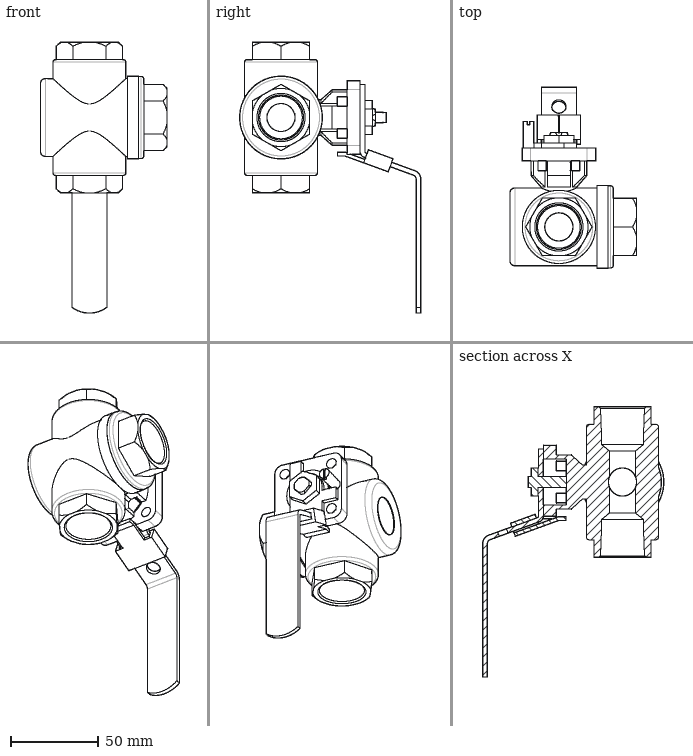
import cadquery as cq
import math


body_dia = 44.7
body_left = -28.1
body_end_fillet = 3.0
label_recess_dia = 22.0
label_recess_depth = 0.5
flange_dia = 47.5
flange_start = 21.7
flange_end = 28.1
cap_dia = 47.2
cap_end = 31.2
rim_fillet = 1.5
port_dia = 42.0
port_shoulder = 33.2
port_reach = 43.2
cap_port_reach = 44.5
hex_flats = 33.0
hex_corners = hex_flats / math.cos(math.pi / 6)
hex_chamfer = 2.3

thread_dia = 25.8
thread_taper = 1 / 16
thread_depth = 21.7
mouth_chamfer = 1.0
passage_dia = 16.0
bore_cone_depth = 3.5

neck_dia = 20.5
neck_top = 22.8
yoke_dia = 32.0
yoke_cone_top = 29.4
yoke_bore_dia = 27.0
yoke_floor = 32.3
leg_width = 13.0
plate_side = 42.2
plate_corner_radius = 5.0
plate_bottom = 37.9
plate_top = 45.3
plate_thickness = plate_top - plate_bottom
bolt_hole_dia = 6.0
bolt_offset = 14.8
stop_hole_dia = 4.2
stop_pin_dia = 6.0
stop_pin_offset = 17.4
stop_pin_end = 60.4
driver_slot_width = 1.2
driver_slot_depth = 1.9

sheet = 2.8
lever_width = 20.2
lever_slope = math.radians(20)
lever_bottom = port_reach - 155.3
lever_outer_face = 80.1
tip_rise = 3.4
upper_bend_z = -20.0
upper_bend_inner_radius = 0.3
lower_bend_inner_radius = 2.3
stop_arm_reach = 19.0
lock_hole_dia = 8.0
lock_hole_along = 22.2

slide_sheet = 2.2
slide_start = 1.2
slide_end = 16.3
slide_cavity_height = 3.7
slide_cavity_width = lever_width + 0.3
slide_width = slide_cavity_width + 2 * slide_sheet
seam_gap = 0.5
tongue_width = 14.6
tongue_tip_y = yoke_floor
tongue_tip_top = -19.9
notch_clearance = 0.2

stem_flats = 9.0
stem_dia = 12.0
stem_end = 54.0
stem_tip_base_radius = 5.5
stem_tip_end_radius = 4.8
nut_flats = 17.1
nut_height = 4.2

handle_outer_y = plate_top + sheet
nut_top = handle_outer_y + nut_height


def cylinder_y(diameter, start, end, x=0, z=0):
    """Cylinder along Y between two Y positions."""
    disc = cq.Workplane("XZ", origin=(x, start, z)).circle(diameter / 2)
    return disc.extrude(start - end)


def block(x_range, y_range, z_range):
    """Box between pairs of coordinates."""
    corners = (x_range, y_range, z_range)
    size = [high - low for low, high in corners]
    return cq.Workplane("XY").box(*size, centered=False).translate([low for low, high in corners])


def upper_port(reach):
    """Hexagonal wrench end along +Z, with its outer corners turned off."""
    prism = cq.Workplane("XY").polygon(6, hex_corners).extrude(reach)
    envelope = cq.Workplane("XY").circle(hex_corners / 2).extrude(reach).faces(">Z").chamfer(hex_chamfer)
    return prism.intersect(envelope)


def upper_bore(reach):
    """Tapered thread bore narrowing to the flow passage, along +Z from the valve centre."""
    thread_radius = thread_dia / 2
    passage_radius = passage_dia / 2
    thread_bottom = reach - thread_depth
    bottom_radius = thread_radius - thread_depth * thread_taper / 2
    profile = [
        (0, 0),
        (passage_radius, 0),
        (passage_radius, thread_bottom - bore_cone_depth),
        (bottom_radius, thread_bottom),
        (thread_radius, reach - mouth_chamfer),
        (thread_radius + mouth_chamfer, reach),
        (0, reach),
    ]
    return cq.Workplane("XZ").polyline(profile).close().revolve(360, (0, 0, 0), (0, 1, 0))


def at_three_ports(shape_for_reach):
    """Copies of a +Z shape placed on the upper, lower and side ports."""
    upper = shape_for_reach(port_reach)
    lower = upper.mirror("XY")
    side = shape_for_reach(cap_port_reach).rotate((0, 0, 0), (0, 1, 0), 90)
    return upper.union(lower).union(side)


def valve_shell():
    """Round body, end flange, cap and ports."""
    body = cq.Workplane("YZ", origin=(body_left, 0, 0)).circle(body_dia / 2)
    body = body.extrude(flange_end - body_left)
    body = body.faces("<X").edges().fillet(body_end_fillet)
    flange = cq.Workplane("YZ", origin=(flange_start, 0, 0)).circle(flange_dia / 2)
    flange = flange.extrude(flange_end - flange_start)
    cap = cq.Workplane("YZ", origin=(flange_end, 0, 0)).circle(cap_dia / 2).extrude(cap_end - flange_end)
    cap = cap.faces(">X").edges().fillet(rim_fillet)
    barrel = cq.Workplane("XY").circle(port_dia / 2).extrude(port_shoulder, both=True)
    barrel = barrel.faces("|Z").edges().fillet(rim_fillet)
    label_recess = cq.Workplane("YZ", origin=(body_left, 0, 0)).circle(label_recess_dia / 2)
    label_recess = label_recess.extrude(label_recess_depth)
    shell = body.union(flange).union(cap).union(barrel)
    return shell.union(at_three_ports(upper_port)).cut(label_recess)


def stem_yoke():
    """Flared cup cut into four legs, standing on a round neck."""
    profile = [
        (0, 0),
        (neck_dia / 2, 0),
        (neck_dia / 2, neck_top),
        (yoke_dia / 2, yoke_cone_top),
        (yoke_dia / 2, plate_bottom),
        (0, plate_bottom),
    ]
    flare = cq.Workplane("XY").polyline(profile).close().revolve(360, (0, 0, 0), (0, 1, 0))
    half = leg_width / 2
    reach = yoke_dia / 2
    height = (0, plate_bottom)
    legs = block((-reach, reach), height, (-half, half)).union(block((-half, half), height, (-reach, reach)))
    core = cylinder_y(neck_dia, 0, yoke_floor)
    return flare.intersect(legs.union(core))


def mounting_plate():
    """Square plate with bolt holes and a notch for the locking tongue."""
    plate = cq.Workplane("XZ", origin=(0, plate_bottom, 0)).rect(plate_side, plate_side)
    plate = plate.extrude(-plate_thickness).edges("|Y").fillet(plate_corner_radius)
    for x in (-bolt_offset, bolt_offset):
        for z in (-bolt_offset, bolt_offset):
            plate = plate.cut(cylinder_y(bolt_hole_dia, plate_bottom, plate_top, x, z))
    plate = plate.cut(cylinder_y(stop_hole_dia, plate_bottom, plate_top, -stop_pin_offset))
    half_notch = tongue_width / 2 + notch_clearance
    notch_top = tongue_tip_top + notch_clearance
    notch = block((-half_notch, half_notch), (plate_bottom, plate_top), (-plate_side / 2, notch_top))
    return plate.cut(notch)


def stop_pin():
    """Slotted pin that limits the handle's swing."""
    pin = cylinder_y(stop_pin_dia, plate_top, stop_pin_end, -stop_pin_offset)
    half_slot = driver_slot_width / 2
    slot = block(
        (-stop_pin_offset - half_slot, -stop_pin_offset + half_slot),
        (stop_pin_end - driver_slot_depth, stop_pin_end),
        (-stop_pin_dia, stop_pin_dia),
    )
    return pin.cut(slot)


def make_housing():
    """Valve body with its yoke, mounting plate and stop pin."""
    housing = valve_shell().union(stem_yoke()).union(mounting_plate())
    housing = housing.cut(cylinder_y(yoke_bore_dia, yoke_floor, plate_top))
    return housing.union(stop_pin()).cut(at_three_ports(upper_bore))


def stem_bar(start, end):
    """Square bar set corner-up, with its corners turned round."""
    bar = cq.Workplane("XZ", origin=(0, start, 0)).rect(stem_flats, stem_flats).extrude(start - end)
    bar = bar.rotate((0, 0, 0), (0, 1, 0), 45)
    return bar.intersect(cylinder_y(stem_dia, start, end))


def make_stem():
    """Square stem with a tapered tip, carrying the nut that holds the handle."""
    taper = [
        (0, nut_top),
        (stem_tip_base_radius, nut_top),
        (stem_tip_end_radius, stem_end),
        (0, stem_end),
    ]
    tip = cq.Workplane("XY").polyline(taper).close().revolve(360, (0, 0, 0), (0, 1, 0))
    tip = tip.intersect(stem_bar(nut_top, stem_end))
    nut = cq.Workplane("XZ", origin=(0, handle_outer_y, 0)).polygon(6, nut_flats / math.cos(math.pi / 6))
    nut = nut.extrude(-nut_height).rotate((0, 0, 0), (0, 1, 0), 90)
    return stem_bar(yoke_floor, nut_top).union(nut).union(tip)


def on_slope(along, above):
    """(Y, Z) of a point on the sloping lever, measured along and above its upper face."""
    y = handle_outer_y + along * math.cos(lever_slope) + above * math.sin(lever_slope)
    z = upper_bend_z - along * math.sin(lever_slope) + above * math.cos(lever_slope)
    return y, z


def slope_z(y, above):
    """Z of the line parallel to the lever's slope at a given Y."""
    drop = (y - handle_outer_y) * math.tan(lever_slope)
    return upper_bend_z - drop + above / math.cos(lever_slope)


def bent_lever():
    """Sheet strip bent twice, from the hub down to the rounded grip end."""
    lever_inner_face = lever_outer_face - sheet
    outline = [
        (plate_top, 0),
        (handle_outer_y, 0),
        (handle_outer_y, slope_z(handle_outer_y, 0)),
        (lever_outer_face, slope_z(lever_outer_face, 0)),
        (lever_outer_face, lever_bottom),
        (lever_inner_face, lever_bottom),
        (lever_inner_face, slope_z(lever_inner_face, -sheet)),
        (plate_top, slope_z(plate_top, -sheet)),
    ]
    strip = cq.Workplane("YZ").polyline(outline).close().extrude(lever_width / 2, both=True)
    bends = [
        (outline[2], upper_bend_inner_radius),
        (outline[7], upper_bend_inner_radius + sheet),
        (outline[3], lower_bend_inner_radius + sheet),
        (outline[6], lower_bend_inner_radius),
    ]
    for (y, z), radius in bends:
        strip = strip.edges(cq.selectors.NearestToPointSelector((0, y, z))).fillet(radius)
    half = lever_width / 2
    tip_corner = lever_bottom + tip_rise
    plan = cq.Workplane("XZ").moveTo(-half, 0).lineTo(-half, tip_corner)
    plan = plan.threePointArc((0, lever_bottom), (half, tip_corner)).lineTo(half, 0).close()
    return strip.intersect(plan.extrude(-lever_outer_face))


def make_handle():
    """Lever with its hub, two stop arms, square stem hole and padlock hole."""
    half = lever_width / 2
    depth = (plate_top, handle_outer_y)
    stop_face = stop_pin_dia / 2
    handle = bent_lever().union(cylinder_y(lever_width, plate_top, handle_outer_y))
    handle = handle.union(block((stop_face, half), depth, (0, stop_arm_reach)))
    handle = handle.union(block((-stop_arm_reach, 0), depth, (-half, -stop_face)))
    hole_y, hole_z = on_slope(lock_hole_along, 0)
    slope_normal = (0, math.sin(lever_slope), math.cos(lever_slope))
    hole_plane = cq.Plane((0, hole_y, hole_z), (1, 0, 0), slope_normal)
    lock_hole = cq.Workplane(hole_plane).circle(lock_hole_dia / 2).extrude(-2 * sheet)
    return handle.cut(stem_bar(plate_top, handle_outer_y)).cut(lock_hole)


def slope_bar(along_range, above_range, width):
    """Bar aligned with the lever's slope, centred on X = 0."""
    low, high = above_range
    start, end = along_range
    outline = [on_slope(start, low), on_slope(end, low), on_slope(end, high), on_slope(start, high)]
    return cq.Workplane("YZ").polyline(outline).close().extrude(width / 2, both=True)


def make_slide():
    """Folded sheet sleeve around the lever, with a tongue that hooks the plate."""
    along = (slide_start, slide_end)
    bottom = -slide_cavity_height - slide_sheet
    sleeve = slope_bar(along, (bottom, slide_sheet), slide_width)
    sleeve = sleeve.cut(slope_bar(along, (-slide_cavity_height, 0), slide_cavity_width))
    sleeve = sleeve.cut(slope_bar(along, (0, slide_sheet), seam_gap))

    tongue_tip_bottom = tongue_tip_top - slide_sheet
    slope = math.tan(lever_slope)
    upper_knee_y = handle_outer_y - (tongue_tip_top - slope_z(handle_outer_y, -slide_cavity_height)) / slope
    lower_knee_y = handle_outer_y - (tongue_tip_bottom - slope_z(handle_outer_y, bottom)) / slope
    outline = [
        on_slope(slide_start, bottom),
        on_slope(slide_start, -slide_cavity_height),
        (upper_knee_y, tongue_tip_top),
        (tongue_tip_y, tongue_tip_top),
        (tongue_tip_y, tongue_tip_bottom),
        (lower_knee_y, tongue_tip_bottom),
    ]
    tongue = cq.Workplane("YZ").polyline(outline).close().extrude(tongue_width / 2, both=True)
    return sleeve.union(tongue)


housing = make_housing()
stem = make_stem()
handle = make_handle()
slide = make_slide()

result = cq.Compound.makeCompound([housing.val(), stem.val(), handle.val(), slide.val()])